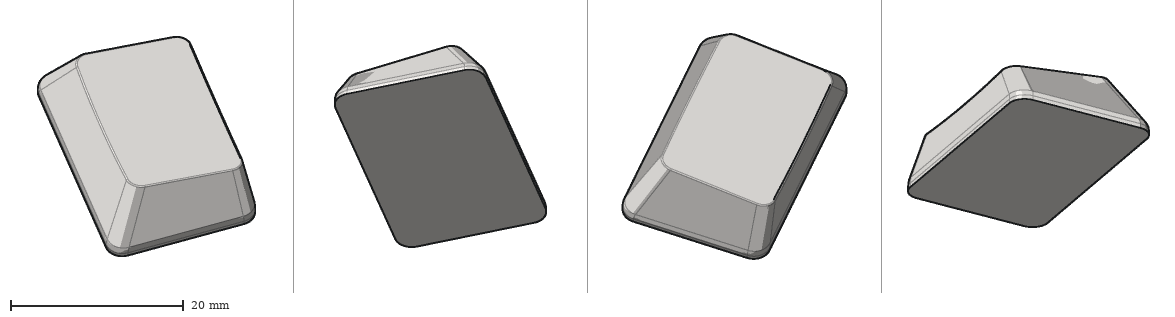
import cadquery as cq
import math

length = 27.7
width = 18.16
base_corner = 2.0
skirt_height = 0.58
blend_top = 1.3

rim_height = 7.75
tilt = 7.2
front_inset = 3.68
side_inset = 3.5
back_inset = 0.55
rim_corner = 1.65

dish_radius = 119.07
valley_height = 7.23
top_edge_radius = 0.2

slope = math.radians(tilt)
rim_front = -width / 2 + front_inset
rim_back = width / 2 - back_inset
rim_normal = cq.Vector(0, math.sin(slope), math.cos(slope))
rim_backward = cq.Vector(0, math.cos(slope), -math.sin(slope))


def rounded_outline(plane, span_x, span_y, radius):
    """Wire of a rounded rectangle centered on the plane."""
    sketch = cq.Sketch().rect(span_x, span_y).vertices().fillet(radius)
    slab = cq.Workplane(plane).placeSketch(sketch).extrude(0.28)
    underside = cq.selectors.DirectionMinMaxSelector(plane.zDir, directionMax=False)
    return slab.faces(underside).wires().val()


def base_outline(z, lean):
    """Rounded base outline drawn inwards by a fraction of the wall insets."""
    front = -width / 2 + front_inset * lean
    back = width / 2 - back_inset * lean
    span_x = length - 2 * side_inset * lean
    radius = base_corner + (rim_corner - base_corner) * lean
    plane = cq.Plane(origin=(0, (front + back) / 2, z))
    return rounded_outline(plane, span_x, back - front, radius)


def make_body():
    """Vertical skirt, curved blend and leaning walls up to the rim."""
    blend_height = blend_top - skirt_height
    bend_height = skirt_height + blend_height / 2
    full_lean = (blend_height / 2) / (rim_height - bend_height)
    skirt_outline = base_outline(skirt_height, 0)
    middle_outline = base_outline(bend_height, full_lean / 4)
    blend_outline = base_outline(blend_top, full_lean)

    rim_depth = (rim_back - rim_front) / math.cos(slope)
    rim_center = cq.Vector(0, rim_front, rim_height) + rim_backward * (rim_depth / 2)
    rim_plane = cq.Plane(origin=rim_center, xDir=(1, 0, 0), normal=rim_normal)
    rim_outline = rounded_outline(rim_plane, length - 2 * side_inset, rim_depth, rim_corner)

    skirt = cq.Workplane(obj=cq.Solid.makeLoft([base_outline(0, 0), skirt_outline], True))
    blend = cq.Solid.makeLoft([skirt_outline, middle_outline, blend_outline], False)
    walls = cq.Solid.makeLoft([blend_outline, rim_outline], True)
    return skirt.union(cq.Workplane(obj=blend)).union(cq.Workplane(obj=walls))


def make_dish():
    """Cylinder whose lowest line runs along the tilted top."""
    valley_start = cq.Vector(0, rim_front, valley_height)
    start = valley_start + rim_normal * dish_radius - rim_backward * width
    return cq.Workplane(obj=cq.Solid.makeCylinder(dish_radius, 3 * width, start, rim_backward))


dished = make_body().cut(make_dish())
highest_center = cq.selectors.CenterNthSelector(cq.Vector(0, 0, 1), -1)
result = dished.faces(highest_center).edges().fillet(top_edge_radius)